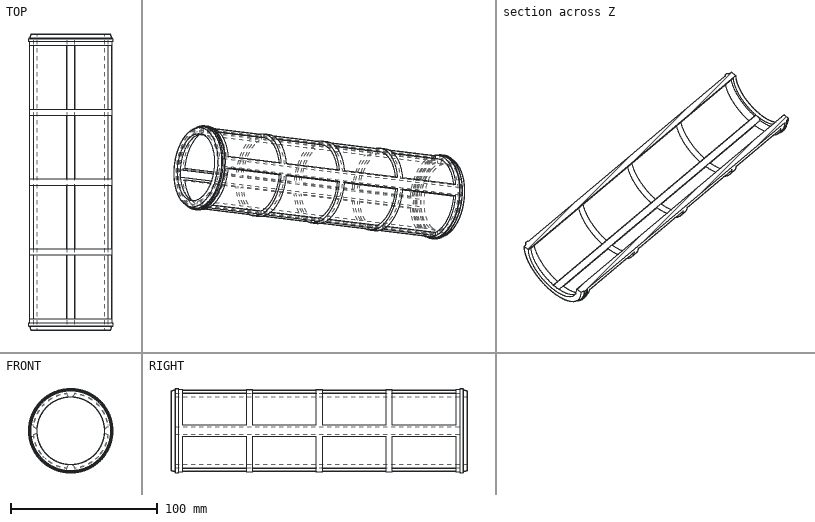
import cadquery as cq

length = 201.93
bead_diameter = 57.66
ring_diameter = 56.39
bore_diameter = 51.05
lip_bore_diameter = 45.97

rim_length = 7.9
nose_tip_diameter = 54.4
nose_base_diameter = 55.8
bead_start = 2.54
bead_end = 4.9
bead_chamfer = 0.6
lip_length = 2.54

window_count = 4
ring_width = 4.2
screen_thickness = 0.25
side_bar_width = 7.9
top_bar_width = 5.6
top_bar_height = 27.7

inner_rib_count = 4

bead_radius = bead_diameter / 2
ring_radius = ring_diameter / 2
bore_radius = bore_diameter / 2
lip_bore_radius = lip_bore_diameter / 2
nose_tip_radius = nose_tip_diameter / 2
nose_base_radius = nose_base_diameter / 2
screen_radius = bore_radius + screen_thickness
rib_radius = bore_radius - lip_bore_radius
half_length = length / 2
cage_length = length - 2 * rim_length
window_length = (cage_length - (window_count - 1) * ring_width) / window_count
window_pitch = window_length + ring_width


def tube(outer_radius, inner_radius, start_y, tube_length):
    """Tube along Y that begins at start_y."""
    plane = cq.Workplane("XZ", origin=(0, start_y, 0))
    return plane.circle(outer_radius).circle(inner_radius).extrude(-tube_length)


def end_rim():
    """Rim at the -Y end: an inner lip, a tapered nose and a bead."""
    profile = [
        (lip_bore_radius, 0),
        (nose_tip_radius, 0),
        (nose_base_radius, bead_start),
        (bead_radius - bead_chamfer, bead_start),
        (bead_radius, bead_start + bead_chamfer),
        (bead_radius, bead_end),
        (ring_radius, bead_end),
        (ring_radius, rim_length),
        (bore_radius, rim_length),
        (bore_radius, lip_length),
        (lip_bore_radius, lip_length),
    ]
    rim = cq.Workplane("XY").polyline(profile).close().revolve(360, (0, 0, 0), (0, 1, 0))
    return rim.translate((0, -half_length, 0))


def window_cutter():
    """One bay of four panel recesses, leaving round side bars and flat top and bottom bars."""
    bay = tube(bead_radius, screen_radius, 0, window_length)
    side_bars = cq.Workplane("XY").box(bead_diameter, 2 * window_length, side_bar_width)
    upright_bars = cq.Workplane("XY").box(top_bar_width, 2 * window_length, 2 * top_bar_height)
    return bay.cut(side_bars.union(upright_bars))


def cage():
    """Tube between the rims, recessed down to the thin screen in every window."""
    body = tube(ring_radius, bore_radius, -cage_length / 2, cage_length)
    cutter = window_cutter()
    for index in range(window_count):
        start_y = -cage_length / 2 + index * window_pitch
        body = body.cut(cutter.translate((0, start_y, 0)))
    return body


def inner_ribs():
    """Half-round ribs along the bore behind the bars, level with the lip bore."""
    rib_length = length - 2 * lip_length
    rods = (
        cq.Workplane("XZ", origin=(0, -rib_length / 2, 0))
        .polarArray(bore_radius, 0, 360, inner_rib_count)
        .circle(rib_radius)
        .extrude(-rib_length)
    )
    bore_limit = (
        cq.Workplane("XZ", origin=(0, -rib_length / 2, 0))
        .circle(screen_radius)
        .extrude(-rib_length)
    )
    return rods.intersect(bore_limit)


near_rim = end_rim()
far_rim = near_rim.mirror("XZ")

result = cage().union(near_rim).union(far_rim).union(inner_ribs()).clean()